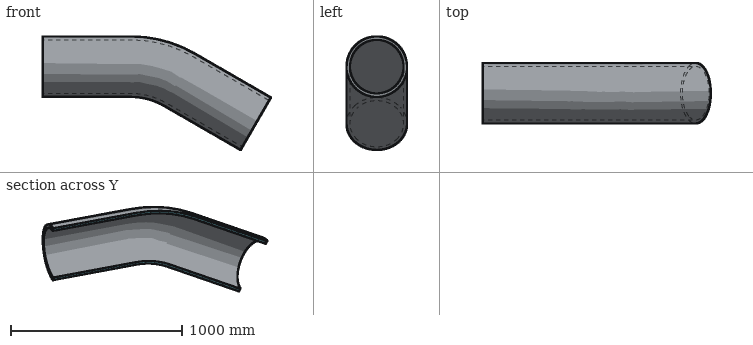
import cadquery as cq
import math

outer_diameter = 355.0
bore_diameter = 312.8
bend_angle = 30.0
bend_radius = 568.0
leg_to_corner = 667.7

outer_radius = outer_diameter / 2
bore_radius = bore_diameter / 2
half_bend_tangent = math.tan(math.radians(bend_angle / 2))
straight_length = leg_to_corner - bend_radius * half_bend_tangent


def along_axis(distance):
    """Point on the centreline of the first leg, which starts at the origin and runs along +X."""
    return cq.Vector(distance, 0, 0)


def centreline():
    """Straight leg, arc turning down towards -Z, and a second straight leg."""
    bend = math.radians(bend_angle)
    bend_start = along_axis(straight_length)
    bend_centre = bend_start - cq.Vector(0, 0, bend_radius)

    def arc_point(angle):
        return bend_centre + cq.Vector(math.sin(angle), 0, math.cos(angle)) * bend_radius

    bend_middle = arc_point(bend / 2)
    bend_end = arc_point(bend)
    leg_direction = cq.Vector(math.cos(bend), 0, -math.sin(bend))
    second_end = bend_end + leg_direction * straight_length

    return cq.Wire.assembleEdges([
        cq.Edge.makeLine(along_axis(0), bend_start),
        cq.Edge.makeThreePointArc(bend_start, bend_middle, bend_end),
        cq.Edge.makeLine(bend_end, second_end),
    ])


def pipe():
    """Ring section swept along the centreline, open at both ends."""
    section = cq.Workplane("YZ").circle(outer_radius).circle(bore_radius)
    return section.sweep(cq.Workplane("XY").newObject([centreline()]))


result = pipe()